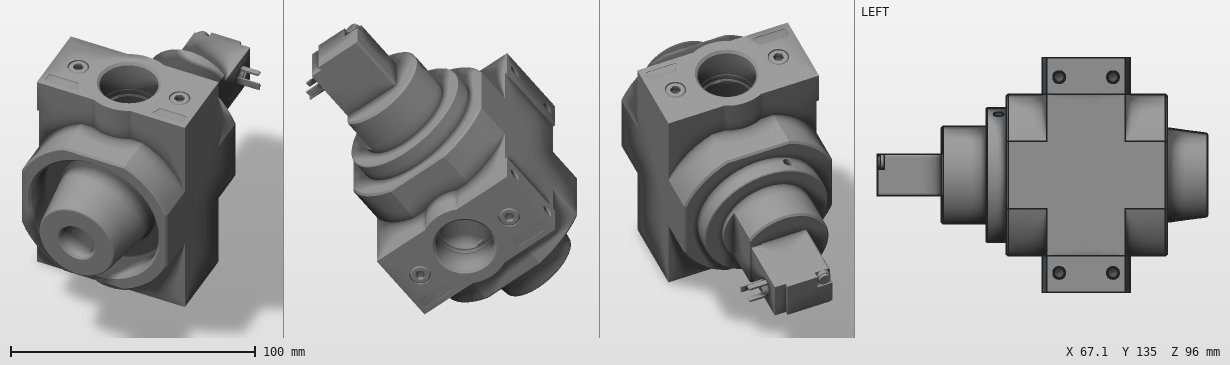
import cadquery as cq
import math


DRILL_POINT_ANGLE = 118

ASSEMBLY_LENGTH = 135.0
ASSEMBLY_HEIGHT = 96.0

HOUSING_WIDTH = 66.0
HOUSING_FRONT_Y = -33.2
HOUSING_REAR_Y = 32.7
HOUSING_DIAMETER = 71.5
HOUSING_CHAMFER = 0.8
HUB_DEPTH = 32.1
PORT_MOUTH_DIAMETER = 23.6
PORT_MOUTH_DEPTH = 1.2
PORT_HOLE_DIAMETER = 22.0
PORT_HOLE_CHAMFER = 0.4
TAB_INNER_RADIUS = 10.3
TAB_WIDTH = 3.5
TAB_THICKNESS = 1.4
TAB_ANGLES = (30, 150, 270)

RECESS_DIAMETER = 57.8
RECESS_CHAMFER = 1.1
RECESS_FLOOR_Y = -19.6
RECESS_FILLET = 1.0
CONE_BASE_DIAMETER = 42.7
CONE_TIP_DIAMETER = 34.0
CONE_TIP_Y = -49.7
CONE_TIP_FILLET = 1.0
CONE_FOOT_FILLET = 1.0
CONE_HOLE_DIAMETER = 15.3
CONE_HOLE_DEPTH = 16.2
CONE_HOLE_CHAMFER = 0.8

BLOCK_LENGTH = 67.1
BLOCK_BULGE_DIAMETER = 36.0
PORT_THREAD_DIAMETER = 24.2
PORT_LIP_THICKNESS = 1.2
PORT_CHAMFER = 1.1
SIDE_HOLE_DIAMETER = 4.2
SIDE_HOLE_CHAMFER = 0.4
SIDE_HOLE_DEPTH = 8.1
SIDE_HOLE_SPACING = 22.0
SIDE_HOLE_DROP = 8.0

LABEL_INNER_X = 16.5
LABEL_SLANT = 2.0
LABEL_WIDTH = 4.5
LABEL_DEPTH = 0.3
LABEL_CORNER = 0.8
LABEL_END_MARGIN = 2.3
LABEL_FRONT_Y = -13.6

SCREW_OFFSET = 23.0
SCREW_HEAD_DIAMETER = 8.4
SCREW_HEAD_CHAMFER = 0.5
SCREW_HEAD_HEIGHT = 5.0
SCREW_SHANK_DIAMETER = 5.0
SCREW_LENGTH = 25.6
SCREW_SOCKET_FLATS = 4.0
SCREW_SOCKET_DEPTH = 2.5
SCREW_SOCKET_TURN = 30
COUNTERBORE_DIAMETER = 8.8
CLEARANCE_DIAMETER = 5.5

RING_DIAMETER = 55.0
RING_REAR_Y = 40.8
RING_CHAMFER = 0.4
SPANNER_HOLE_DIAMETER = 4.0
SPANNER_HOLE_DEPTH = 4.0
SPANNER_HOLE_ANGLE = 115
SPANNER_HOLE_Y = 35.8

PILOT_DIAMETER = 40.0
PILOT_REAR_Y = 59.1
PILOT_CHAMFER = 0.8
PILOT_FLAT_X = 15.3
PILOT_FLANGE_Y = 42.7

SOLENOID_LEFT_X = -10.1
SOLENOID_RIGHT_X = 14.8
SOLENOID_HEIGHT = 17.0
SOLENOID_FILLET = 1.2
STEP_WIDTH = 4.9
STEP_DEPTH = 1.8
FOOT_GAP = 0.4
NOTCH_LENGTH = 6.8
NOTCH_HEIGHT = 6.1
NOTCH_DEPTH = 2.7
BUTTON_DIAMETER = 6.0
BUTTON_HEIGHT = 1.6
BUTTON_TOP_DIAMETER = 5.0
BOSS_Y = 75.5
BOSS_STEPS = ((5.5, 1.6), (4.0, 2.4))
PIN_LENGTH = 8.4
PIN_WIDTH = 2.2
PIN_THICKNESS = 1.1
PIN_OFFSET = 3.5
PIN_TIP_CHAMFER = 0.4
EARTH_PIN_Y = 71.8
EARTH_PIN_LENGTH = 10.0
EARTH_PIN_THICKNESS = 0.7
EARTH_PIN_WIDTH = 3.2

SOLENOID_REAR_Y = CONE_TIP_Y + ASSEMBLY_LENGTH
HALF_WIDTH = HOUSING_WIDTH / 2
TOP_Z = ASSEMBLY_HEIGHT / 2
BLOCK_LEFT_X = HALF_WIDTH - BLOCK_LENGTH
PORT_FLOOR_Z = HALF_WIDTH - PORT_MOUTH_DEPTH

INNERMOST = cq.selectors.RadiusNthSelector(0)


def rod_y(diameter, start_y, end_y, x=0, z=0):
    """Cylinder along Y."""
    base = cq.Workplane("XZ", origin=(x, start_y, z))
    return base.circle(diameter / 2).extrude(start_y - end_y)


def rod_z(diameter, start_z, end_z, x=0, y=0):
    """Cylinder along Z."""
    base = cq.Workplane("XY", origin=(x, y, start_z))
    return base.circle(diameter / 2).extrude(end_z - start_z)


def span_box(x_range, y_range, z_range):
    """Box between the given limits."""
    size = [end - start for start, end in (x_range, y_range, z_range)]
    corner = (x_range[0], y_range[0], z_range[0])
    return cq.Workplane("XY").box(*size, centered=False).translate(corner)


def drill_point_height(diameter):
    """Height of the cone that a drill leaves at the bottom of a hole."""
    return diameter / 2 / math.tan(math.radians(DRILL_POINT_ANGLE / 2))


def blind_hole(diameter, depth, chamfer):
    """Drilled hole along +X from the origin, with a chamfered mouth and a pointed bottom."""
    radius = diameter / 2
    point = drill_point_height(diameter)
    outline = [(0, 0), (0, radius + chamfer), (chamfer, radius), (depth, radius), (depth + point, 0)]
    return cq.Workplane("XY").polyline(outline).close().revolve(360, (0, 0, 0), (1, 0, 0))


def both_ends(shape):
    """The shape for the top of the valve and its mirror image for the bottom."""
    return [shape, shape.mirror("XY")]


def make_cone():
    """Hollow cone that stands on the floor of the front recess."""
    base_radius = CONE_BASE_DIAMETER / 2
    tip_radius = CONE_TIP_DIAMETER / 2
    outline = [(0, RECESS_FLOOR_Y), (base_radius, RECESS_FLOOR_Y), (tip_radius, CONE_TIP_Y), (0, CONE_TIP_Y)]
    cone = cq.Workplane("XY").polyline(outline).close().revolve(360, (0, 0, 0), (0, 1, 0))
    cone = cone.faces("<Y").edges().fillet(CONE_TIP_FILLET)
    cone = cone.cut(rod_y(CONE_HOLE_DIAMETER, CONE_TIP_Y, CONE_TIP_Y + CONE_HOLE_DEPTH))
    return cone.faces("<Y").edges(INNERMOST).chamfer(CONE_HOLE_CHAMFER)


def make_port_tab(angle):
    """Small stop that reaches into the port hole, flush with the floor of its wide mouth."""
    reach = (TAB_INNER_RADIUS, PORT_HOLE_DIAMETER / 2 + 2 * PORT_HOLE_CHAMFER)
    thickness_range = (PORT_FLOOR_Z - TAB_THICKNESS, PORT_FLOOR_Z)
    tab = span_box(reach, (-TAB_WIDTH / 2, TAB_WIDTH / 2), thickness_range)
    return tab.rotate((0, 0, 0), (0, 0, 1), angle)


def make_housing():
    width_range = (-HALF_WIDTH, HALF_WIDTH)
    flats = span_box(width_range, (HOUSING_FRONT_Y, HOUSING_REAR_Y), width_range)
    body = rod_y(HOUSING_DIAMETER, HOUSING_FRONT_Y, HOUSING_REAR_Y).intersect(flats)
    body = body.faces("<Y or >Y").chamfer(HOUSING_CHAMFER)
    body = body.union(cq.Workplane("XY").box(HOUSING_WIDTH, HUB_DEPTH, HOUSING_WIDTH))

    recess = rod_y(RECESS_DIAMETER, HOUSING_FRONT_Y, RECESS_FLOOR_Y)
    recess = recess.faces(">Y").edges().fillet(RECESS_FILLET)
    body = body.cut(recess)
    body = body.faces("<Y").edges("%CIRCLE").edges(INNERMOST).chamfer(RECESS_CHAMFER)
    body = body.union(make_cone())
    recess_floor = cq.selectors.NearestToPointSelector((0, RECESS_FLOOR_Y, 0))
    body = body.faces(recess_floor).edges(INNERMOST).fillet(CONE_FOOT_FILLET)

    body = body.cut(rod_z(PORT_HOLE_DIAMETER, -HALF_WIDTH, HALF_WIDTH))
    hole_radius = PORT_HOLE_DIAMETER / 2
    mouth_radius = hole_radius + PORT_HOLE_CHAMFER
    for mouth in both_ends(rod_z(PORT_MOUTH_DIAMETER, PORT_FLOOR_Z, HALF_WIDTH)):
        body = body.cut(mouth)
    chamfer_base = (0, 0, PORT_FLOOR_Z - PORT_HOLE_CHAMFER)
    chamfer = cq.Workplane(cq.Solid.makeCone(hole_radius, mouth_radius, PORT_HOLE_CHAMFER, chamfer_base))
    for countersink in both_ends(chamfer):
        body = body.cut(countersink)
    for angle in TAB_ANGLES:
        for tab in both_ends(make_port_tab(angle)):
            body = body.union(tab)

    for x in (-SCREW_OFFSET, SCREW_OFFSET):
        for hole in both_ends(rod_z(SCREW_SHANK_DIAMETER, TOP_Z - SCREW_LENGTH, HALF_WIDTH, x)):
            body = body.cut(hole)
    return body


def make_label_recess(side):
    """Shallow recess with its slanted edge toward the port; side is -1 for left and 1 for right."""
    outer_x = (BLOCK_LEFT_X if side < 0 else HALF_WIDTH) - side * LABEL_END_MARGIN
    rear_y = LABEL_FRONT_Y + LABEL_WIDTH
    outline = [
        (outer_x, LABEL_FRONT_Y),
        (side * LABEL_INNER_X, LABEL_FRONT_Y),
        (side * (LABEL_INNER_X + LABEL_SLANT), rear_y),
        (outer_x, rear_y),
    ]
    recess = cq.Workplane("XY", origin=(0, 0, TOP_Z - LABEL_DEPTH)).polyline(outline).close()
    return recess.extrude(LABEL_DEPTH).edges("|Z").fillet(LABEL_CORNER)


def make_port_block():
    """Block on top of the housing."""
    block = span_box((BLOCK_LEFT_X, HALF_WIDTH), (-HUB_DEPTH / 2, HUB_DEPTH / 2), (HALF_WIDTH, TOP_Z))
    block = block.union(rod_z(BLOCK_BULGE_DIAMETER, HALF_WIDTH, TOP_Z))
    block = block.cut(rod_z(PORT_MOUTH_DIAMETER, HALF_WIDTH, TOP_Z))
    block = block.cut(rod_z(PORT_THREAD_DIAMETER, HALF_WIDTH + PORT_LIP_THICKNESS, TOP_Z))
    block = block.faces(">Z").edges(INNERMOST).chamfer(PORT_CHAMFER)

    for x in (-SCREW_OFFSET, SCREW_OFFSET):
        block = block.cut(rod_z(CLEARANCE_DIAMETER, HALF_WIDTH, TOP_Z, x))
        block = block.cut(rod_z(COUNTERBORE_DIAMETER, TOP_Z - SCREW_HEAD_HEIGHT, TOP_Z, x))

    for y in (-SIDE_HOLE_SPACING / 2, SIDE_HOLE_SPACING / 2):
        hole = blind_hole(SIDE_HOLE_DIAMETER, SIDE_HOLE_DEPTH, SIDE_HOLE_CHAMFER)
        block = block.cut(hole.translate((BLOCK_LEFT_X, y, TOP_Z - SIDE_HOLE_DROP)))

    for side in (-1, 1):
        block = block.cut(make_label_recess(side))
    return block


def make_screw(x):
    """Socket head screw that holds the top block to the housing."""
    head = rod_z(SCREW_HEAD_DIAMETER, TOP_Z - SCREW_HEAD_HEIGHT, TOP_Z, x)
    head = head.faces(">Z").edges().chamfer(SCREW_HEAD_CHAMFER)
    shank = rod_z(SCREW_SHANK_DIAMETER, TOP_Z - SCREW_LENGTH, TOP_Z - SCREW_HEAD_HEIGHT, x)

    socket_floor = cq.Workplane("XY", origin=(x, 0, TOP_Z - SCREW_SOCKET_DEPTH))
    corner_diameter = SCREW_SOCKET_FLATS / math.cos(math.pi / 6)
    socket = socket_floor.polygon(6, corner_diameter).extrude(SCREW_SOCKET_DEPTH)
    socket = socket.rotate((x, 0, 0), (x, 0, 1), SCREW_SOCKET_TURN)
    point_radius = SCREW_SOCKET_FLATS / 2
    point_height = drill_point_height(SCREW_SOCKET_FLATS)
    point_z = TOP_Z - SCREW_SOCKET_DEPTH - point_height
    point = cq.Workplane(cq.Solid.makeCone(0, point_radius, point_height, (x, 0, point_z)))
    return head.union(shank).cut(socket).cut(point)


def make_ring():
    ring = rod_y(RING_DIAMETER, HOUSING_REAR_Y, RING_REAR_Y)
    ring = ring.faces(">Y").edges().chamfer(RING_CHAMFER)
    hole = cq.Workplane("YZ").circle(SPANNER_HOLE_DIAMETER / 2).extrude(RING_DIAMETER)
    hole = hole.translate((RING_DIAMETER / 2 - SPANNER_HOLE_DEPTH, SPANNER_HOLE_Y, 0))
    return ring.cut(hole.rotate((0, 0, 0), (0, 1, 0), -SPANNER_HOLE_ANGLE))


def make_pilot():
    pilot = rod_y(PILOT_DIAMETER, RING_REAR_Y, PILOT_REAR_Y)
    pilot = pilot.faces(">Y").edges().chamfer(PILOT_CHAMFER)
    radius = PILOT_DIAMETER / 2
    flat = span_box((PILOT_FLAT_X, radius), (PILOT_FLANGE_Y, PILOT_REAR_Y), (-radius, radius))
    return pilot.cut(flat)


def make_solenoid_case():
    half_height = SOLENOID_HEIGHT / 2
    height_range = (-half_height, half_height)
    case = span_box((SOLENOID_LEFT_X, SOLENOID_RIGHT_X), (PILOT_REAR_Y, SOLENOID_REAR_Y), height_range)
    case = case.edges("|Y and <X").fillet(SOLENOID_FILLET)
    step_x = SOLENOID_RIGHT_X - STEP_WIDTH
    step_range = (step_x, SOLENOID_RIGHT_X)
    step = span_box(step_range, (SOLENOID_REAR_Y - STEP_DEPTH, SOLENOID_REAR_Y), height_range)
    gap = span_box(step_range, (PILOT_REAR_Y, PILOT_REAR_Y + FOOT_GAP), height_range)
    return case.cut(step).cut(gap)


def add_button(case):
    """Round push button in a notch at the upper left rear corner."""
    top_z = SOLENOID_HEIGHT / 2
    notch_y = SOLENOID_REAR_Y - NOTCH_DEPTH
    x_range = (SOLENOID_LEFT_X, SOLENOID_LEFT_X + NOTCH_LENGTH)
    case = case.cut(span_box(x_range, (notch_y, SOLENOID_REAR_Y), (top_z - NOTCH_HEIGHT, top_z)))
    center = (SOLENOID_LEFT_X + NOTCH_LENGTH / 2, top_z - NOTCH_HEIGHT / 2)
    case = case.union(rod_y(BUTTON_DIAMETER, notch_y, notch_y + BUTTON_HEIGHT, *center))
    return case.union(rod_y(BUTTON_TOP_DIAMETER, notch_y, SOLENOID_REAR_Y, *center))


def add_connector(case):
    """Stepped boss, two power pins and an earth pin on the right side."""
    for diameter, reach in BOSS_STEPS:
        boss = cq.Workplane("YZ", origin=(SOLENOID_RIGHT_X, BOSS_Y, 0))
        case = case.union(boss.circle(diameter / 2).extrude(reach))
    for z in (-PIN_OFFSET, PIN_OFFSET):
        pin = cq.Workplane("YZ", origin=(SOLENOID_RIGHT_X, BOSS_Y, z))
        pin = pin.rect(PIN_WIDTH, PIN_THICKNESS).extrude(PIN_LENGTH)
        case = case.union(pin.faces(">X").edges("|Y").chamfer(PIN_TIP_CHAMFER))
    earth = cq.Workplane("YZ", origin=(SOLENOID_RIGHT_X, EARTH_PIN_Y, 0))
    return case.union(earth.rect(EARTH_PIN_THICKNESS, EARTH_PIN_WIDTH).extrude(EARTH_PIN_LENGTH))


housing = make_housing()
port_blocks = both_ends(make_port_block())
screws = []
for screw_x in (-SCREW_OFFSET, SCREW_OFFSET):
    screws += both_ends(make_screw(screw_x))
ring = make_ring()
pilot = make_pilot()
solenoid = add_connector(add_button(make_solenoid_case()))

result = cq.Compound.makeCompound(
    [
        housing.val(),
        *[block.val() for block in port_blocks],
        *[screw.val() for screw in screws],
        ring.val(),
        pilot.val(),
        solenoid.val(),
    ]
)